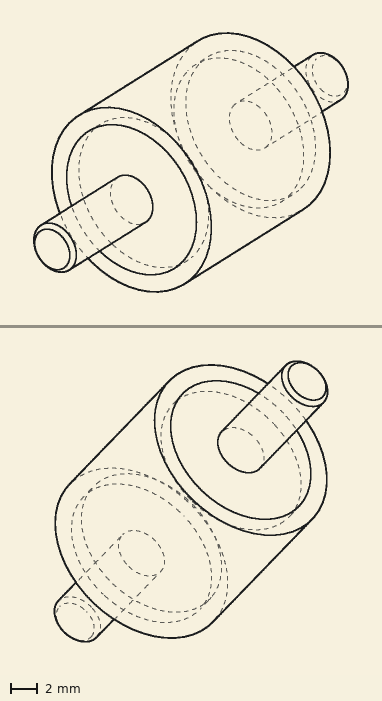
import cadquery as cq

rubber_diameter = 15.0
rubber_length = 15.0
stud_diameter = 4.0
stud_length = 10.0
tip_chamfer = 0.35
plate_diameter = 12.2
plate_thickness = 1.5

end_face = rubber_length / 2
stud_tip = end_face + stud_length
plate_back = end_face - plate_thickness


def cylinder_along_y(diameter, start, length):
    """Cylinder on the Y axis, from y = start toward +Y (-Y for a negative length)."""
    base = cq.Workplane("XZ", origin=(0, start, 0)).circle(diameter / 2)
    return base.extrude(-length)


def make_stud(side):
    """Plate and stud in one piece; side is +1 for the +Y end and -1 for the -Y end."""
    tip_face = ">Y" if side > 0 else "<Y"
    shank = cylinder_along_y(stud_diameter, side * plate_back, side * (stud_tip - plate_back))
    shank = shank.faces(tip_face).chamfer(tip_chamfer)
    plate = cylinder_along_y(plate_diameter, side * plate_back, side * plate_thickness)
    return plate.union(shank)


def make_rubber():
    """Rubber cylinder with a recess in each end that holds a plate flush with the end face."""
    rubber = cylinder_along_y(rubber_diameter, -end_face, rubber_length)
    for side in (-1, 1):
        recess = cylinder_along_y(plate_diameter, side * plate_back, side * plate_thickness)
        rubber = rubber.cut(recess)
    return rubber


rubber = make_rubber()
studs = [make_stud(side) for side in (-1, 1)]

result = cq.Compound.makeCompound([rubber.val(), *[stud.val() for stud in studs]])